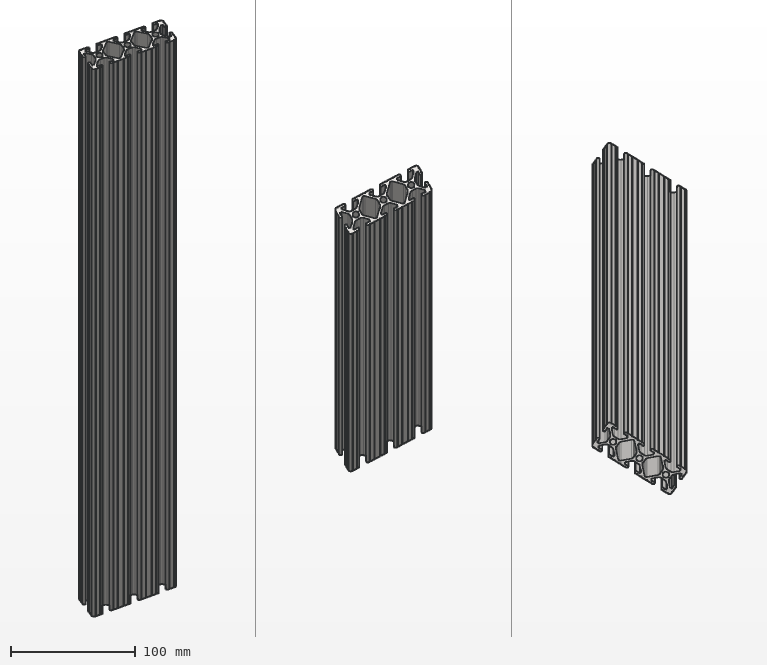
import cadquery as cq
import math

length = 609.5
stack_width = 76.0
cell_count = 3
cell = stack_width / cell_count
half_cell = cell / 2
corner_fillet = 2.25

slot_opening = 7.0
slot_inner_width = 14.5
wall = 2.2
web = 2.1
floor_offset = 4.45
floor_fillet = 3.0
cavity_side_fillet = 1.5
lip_fillet = 1.15
bore_diameter = 5.2

groove_radius = 0.35
inner_groove_offset = 6.0
outer_groove_inset = 2.7

web_shift = web / math.sqrt(2)
floor_half_width = floor_offset - web_shift
wall_inside = half_cell - wall

cell_centres = [cell * (i - (cell_count - 1) / 2) for i in range(cell_count)]
cavity_centres = [y + half_cell for y in cell_centres[:-1]]

slotted_faces = [(turn, y) for y in cell_centres for turn in (90, -90)]
slotted_faces += [(0, cell_centres[-1]), (180, cell_centres[0])]


def mirrored_prism(right_side):
    """Extrude the outline made of these right-hand points and their mirror images in X."""
    left_side = [(-x, y) for x, y in reversed(right_side)]
    return cq.Workplane("XY").polyline(right_side + left_side).close().extrude(length)


def fillet_edges_at(solid, points, radius):
    """Round the upright edges at the given points and at their mirror images in X."""
    reach = 0.05
    for x, y in points:
        for edge_x in (x, -x):
            near = (edge_x - reach, y - reach, 0)
            far = (edge_x + reach, y + reach, length)
            edge = solid.edges("|Z").edges(cq.selectors.BoxSelector(near, far))
            solid = edge.fillet(radius)
    return solid


def slot():
    """T-slot facing +Y, with its cell centre at the origin."""
    mouth = slot_opening / 2
    inside = slot_inner_width / 2
    floor_corner = (floor_half_width, floor_offset)
    channel = mirrored_prism([
        floor_corner,
        (inside, inside + web_shift),
        (inside, wall_inside),
        (mouth, wall_inside),
        (mouth, half_cell),
    ])
    channel = fillet_edges_at(channel, [floor_corner], floor_fillet)

    lip_start = half_cell - lip_fillet
    flare = (
        cq.Workplane("XY")
        .moveTo(-mouth, lip_start)
        .radiusArc((-mouth - lip_fillet, half_cell), -lip_fillet)
        .lineTo(mouth + lip_fillet, half_cell)
        .radiusArc((mouth, lip_start), -lip_fillet)
        .close()
        .extrude(length)
    )
    return channel.union(flare)


def grooves():
    """The four grooves of a face on the +Y side of a cell centred on the origin."""
    offsets = (inner_groove_offset, half_cell - outer_groove_inset)
    centres = [(side * offset, half_cell) for side in (-1, 1) for offset in offsets]
    return cq.Workplane("XY").pushPoints(centres).circle(groove_radius).extrude(length)


def cavity():
    """Hollow between two neighbouring cells, centred on their shared boundary."""
    end = half_cell - floor_offset
    side_end = half_cell - wall_inside - web_shift
    end_corners = [(floor_half_width, -end), (floor_half_width, end)]
    side_corners = [(wall_inside, -side_end), (wall_inside, side_end)]
    hollow = mirrored_prism([end_corners[0], *side_corners, end_corners[1]])
    hollow = fillet_edges_at(hollow, end_corners, floor_fillet)
    return fillet_edges_at(hollow, side_corners, cavity_side_fillet)


def bores():
    """Round hole through the middle of every cell."""
    centres = [(0, y) for y in cell_centres]
    return cq.Workplane("XY").pushPoints(centres).circle(bore_diameter / 2).extrude(length)


result = cq.Workplane("XY").rect(cell, stack_width).extrude(length)
result = result.edges("|Z").fillet(corner_fillet)

for tool in (slot(), grooves()):
    for turn, y in slotted_faces:
        result = result.cut(tool.rotate((0, 0, 0), (0, 0, 1), turn).translate((0, y, 0)))

for y in cavity_centres:
    result = result.cut(cavity().translate((0, y, 0)))

result = result.cut(bores()).translate((0, 0, -length / 2))